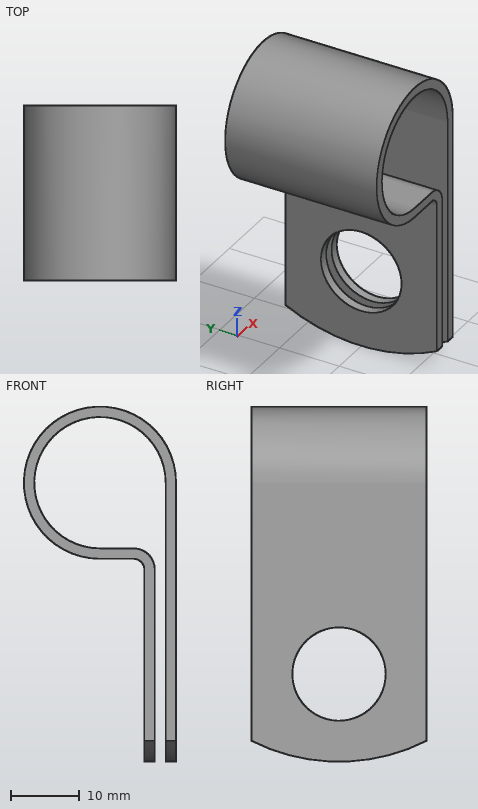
import cadquery as cq
import math

width = 25.4
height = 51.5
loop_diameter = 22.1
thickness = 1.55
leg_gap = 1.55
bend_inner_radius = 1.55
hole_diameter = 13.5
hole_above_tip = 12.7
tip_rise = 3.05

outer_radius = loop_diameter / 2
inner_radius = outer_radius - thickness
tip_z = outer_radius - height
short_leg_outer_x = inner_radius - leg_gap
short_leg_inner_x = short_leg_outer_x - thickness
bend_outer_radius = bend_inner_radius + thickness
bend_x = short_leg_outer_x - bend_outer_radius
bend_z = -inner_radius - bend_outer_radius
diagonal = math.sqrt(0.5)


def strap():
    """Bent strip: long leg, three-quarter loop, bend and short leg."""
    profile = (
        cq.Workplane("XZ")
        .moveTo(outer_radius, tip_z)
        .lineTo(outer_radius, 0)
        .threePointArc((-outer_radius * diagonal, outer_radius * diagonal), (0, -outer_radius))
        .lineTo(bend_x, -outer_radius)
        .threePointArc(
            (bend_x + bend_inner_radius * diagonal, bend_z + bend_inner_radius * diagonal),
            (short_leg_inner_x, bend_z),
        )
        .lineTo(short_leg_inner_x, tip_z)
        .lineTo(short_leg_outer_x, tip_z)
        .lineTo(short_leg_outer_x, bend_z)
        .threePointArc(
            (bend_x + bend_outer_radius * diagonal, bend_z + bend_outer_radius * diagonal),
            (bend_x, -inner_radius),
        )
        .lineTo(0, -inner_radius)
        .threePointArc((-inner_radius * diagonal, inner_radius * diagonal), (inner_radius, 0))
        .lineTo(inner_radius, tip_z)
        .close()
    )
    return profile.extrude(width / 2, both=True)


def side_outline():
    """Solid whose YZ outline has the rounded lower end."""
    half_width = width / 2
    return (
        cq.Workplane("YZ")
        .moveTo(-half_width, outer_radius)
        .lineTo(-half_width, tip_z + tip_rise)
        .threePointArc((0, tip_z), (half_width, tip_z + tip_rise))
        .lineTo(half_width, outer_radius)
        .close()
        .extrude(loop_diameter, both=True)
    )


def bolt_hole():
    """Cylinder along X that passes through both legs."""
    return (
        cq.Workplane("YZ")
        .center(0, tip_z + hole_above_tip)
        .circle(hole_diameter / 2)
        .extrude(loop_diameter)
    )


result = strap().intersect(side_outline()).cut(bolt_hole())